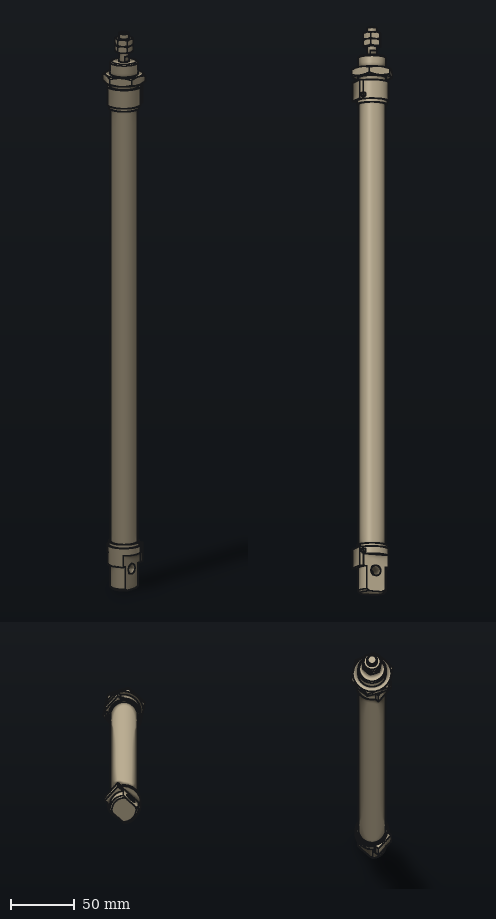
import cadquery as cq
import math

TOTAL_HEIGHT = 452.0

MOUNT_NUT_WALL = 3.95
MOUNT_NUT_BOTTOM = 411.8
MOUNT_NUT_HEIGHT = 7.0
ROD_NUT_FLATS = 13.0
ROD_NUT_HEIGHT = 5.5
ROD_NUT_COUNT = 2
ROD_NUTS_TOP = TOTAL_HEIGHT - 4.5
NUT_BEVEL_ANGLE = 30.0

ROD_DIAMETER = 8.0
ROD_TIP_DIAMETER = 7.0
ROD_CHAMFER = (ROD_DIAMETER - ROD_TIP_DIAMETER) / 2
ROD_FLAT_THICKNESS = 6.0
ROD_FLAT_TOP = 433.0
ROD_FLAT_HEIGHT = 4.3

TUBE_DIAMETER = 21.2
CAP_DIAMETER = 26.0
CAP_RING_DIAMETER = 24.0
CAP_RING_HEIGHT = 2.5
NECK_DIAMETER = 22.0
FRONT_TIP_DIAMETER = 20.0
FRONT_CHAMFER = (NECK_DIAMETER - FRONT_TIP_DIAMETER) / 2
TAIL_TIP_DIAMETER = 19.0
TAIL_CHAMFER = (NECK_DIAMETER - TAIL_TIP_DIAMETER) / 2

REAR_CAP_BOTTOM = 20.0
REAR_CAP_TOP = 38.0
REAR_RING_BOTTOM = REAR_CAP_TOP - CAP_RING_HEIGHT
FRONT_CAP_BOTTOM = 390.5
FRONT_CAP_TOP = 408.0
FRONT_RING_TOP = FRONT_CAP_BOTTOM + CAP_RING_HEIGHT
FRONT_FACE = ROD_FLAT_TOP - ROD_FLAT_HEIGHT
ROD_BOTTOM = FRONT_CAP_BOTTOM

TAIL_THICKNESS = 16.0
TAIL_FLAT_TOP = 29.5
PIVOT_HOLE_DIAMETER = 8.0
PIVOT_HOLE_HEIGHT = 16.5

PAD_WIDTH = 15.5
PAD_REACH = 13.5
SIDE_HOLE_DIAMETER = 3.5
SIDE_HOLE_Y = 11.0
SIDE_HOLE_INSET = 6.0
SIDE_HOLE_BOTTOM_X = -4.5


def cylinder(diameter, bottom, top):
    return cq.Workplane("XY").workplane(offset=bottom).circle(diameter / 2).extrude(top - bottom)


def revolved(outline):
    """Solid of revolution about Z from (radius, height) points."""
    return cq.Workplane("XZ").polyline(outline).close().revolve(360, (0, 0), (0, 1))


def cut_side_flats(body, thickness, diameter, bottom, height):
    """Cut two parallel flats, facing -X and +X, that leave the given thickness."""
    for side in (-1, 1):
        cutter = cq.Workplane("XY").box(diameter, 2 * diameter, height, centered=(True, True, False))
        body = body.cut(cutter.translate((side * (thickness + diameter) / 2, 0, bottom)))
    return body


def make_turned_housing():
    tube_r = TUBE_DIAMETER / 2
    cap_r = CAP_DIAMETER / 2
    ring_r = CAP_RING_DIAMETER / 2
    neck_r = NECK_DIAMETER / 2
    front_tip_r = FRONT_TIP_DIAMETER / 2
    tail_tip_r = TAIL_TIP_DIAMETER / 2
    return revolved([
        (0, 0),
        (tail_tip_r, 0),
        (neck_r, TAIL_CHAMFER),
        (neck_r, REAR_CAP_BOTTOM),
        (cap_r, REAR_CAP_BOTTOM),
        (cap_r, REAR_RING_BOTTOM),
        (ring_r, REAR_RING_BOTTOM),
        (ring_r, REAR_CAP_TOP),
        (tube_r, REAR_CAP_TOP),
        (tube_r, FRONT_CAP_BOTTOM),
        (ring_r, FRONT_CAP_BOTTOM),
        (ring_r, FRONT_RING_TOP),
        (cap_r, FRONT_RING_TOP),
        (cap_r, FRONT_CAP_TOP),
        (neck_r, FRONT_CAP_TOP),
        (neck_r, FRONT_FACE - FRONT_CHAMFER),
        (front_tip_r, FRONT_FACE),
        (0, FRONT_FACE),
    ])


def make_pad(bottom, top):
    pad = cq.Workplane("XY").box(PAD_WIDTH, PAD_REACH, top - bottom, centered=(True, False, False))
    return pad.translate((0, 0, bottom))


def make_side_hole(height):
    """Blind hole running toward +X from outside the cap."""
    outside_x = -CAP_DIAMETER / 2
    hole = cq.Workplane("YZ").circle(SIDE_HOLE_DIAMETER / 2).extrude(SIDE_HOLE_BOTTOM_X - outside_x)
    return hole.translate((outside_x, SIDE_HOLE_Y, height))


def make_pivot_hole():
    hole = cq.Workplane("YZ").center(0, PIVOT_HOLE_HEIGHT).circle(PIVOT_HOLE_DIAMETER / 2)
    return hole.extrude(TAIL_THICKNESS, both=True)


def make_housing():
    body = make_turned_housing()
    body = body.union(make_pad(REAR_CAP_BOTTOM, REAR_RING_BOTTOM))
    body = body.union(make_pad(FRONT_RING_TOP, FRONT_CAP_TOP))
    for height in (REAR_CAP_TOP - SIDE_HOLE_INSET, FRONT_CAP_BOTTOM + SIDE_HOLE_INSET):
        body = body.cut(make_side_hole(height))
    body = cut_side_flats(body, TAIL_THICKNESS, CAP_DIAMETER, 0, TAIL_FLAT_TOP)
    body = body.cut(make_pivot_hole())
    return body.cut(cylinder(ROD_DIAMETER, ROD_BOTTOM, FRONT_FACE))


def make_rod():
    body = cylinder(ROD_DIAMETER, ROD_BOTTOM, TOTAL_HEIGHT).faces(">Z").chamfer(ROD_CHAMFER)
    return cut_side_flats(body, ROD_FLAT_THICKNESS, ROD_DIAMETER, FRONT_FACE, ROD_FLAT_HEIGHT)


def make_nut(flats, bore, height, bottom):
    """Hexagon nut with corners toward +Y and -Y, bevelled at both ends."""
    corners = flats / math.cos(math.radians(30))
    face_r = flats / 2
    corner_r = corners / 2
    bevel_height = (corner_r - face_r) * math.tan(math.radians(NUT_BEVEL_ANGLE))
    envelope = revolved([
        (0, 0),
        (face_r, 0),
        (corner_r, bevel_height),
        (corner_r, height - bevel_height),
        (face_r, height),
        (0, height),
    ])
    hexagon = cq.Workplane("XY").polygon(6, corners).extrude(height).rotate((0, 0, 0), (0, 0, 1), 30)
    nut = hexagon.intersect(envelope).cut(cylinder(bore, 0, height))
    return nut.translate((0, 0, bottom))


housing = make_housing()
rod = make_rod()

mount_nut_flats = NECK_DIAMETER + 2 * MOUNT_NUT_WALL
mount_nut = make_nut(mount_nut_flats, NECK_DIAMETER, MOUNT_NUT_HEIGHT, MOUNT_NUT_BOTTOM)

rod_nuts = []
for position in range(1, ROD_NUT_COUNT + 1):
    nut_bottom = ROD_NUTS_TOP - position * ROD_NUT_HEIGHT
    rod_nuts.append(make_nut(ROD_NUT_FLATS, ROD_DIAMETER, ROD_NUT_HEIGHT, nut_bottom))

result = cq.Compound.makeCompound([
    housing.solids().val(),
    rod.solids().val(),
    mount_nut.solids().val(),
    *[nut.solids().val() for nut in rod_nuts],
])